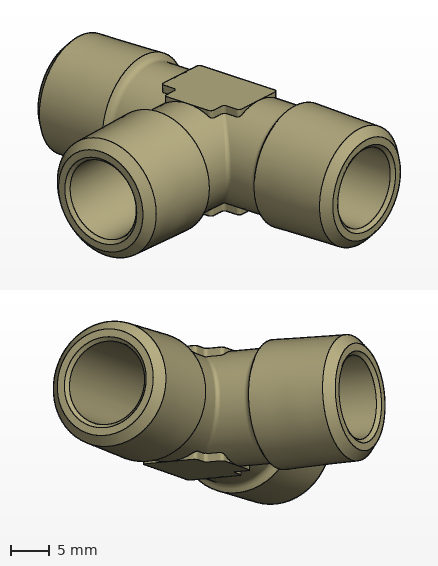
import cadquery as cq
import math

arm_length = 24.5
tube_radius = 7.5
bore_radius = 5.5
bore_chamfer = 0.5
crotch_fillet = 0.5

collar_radius = 8.5
collar_tip_radius = 8.25
collar_length = 11.9
tip_chamfer = 1.22

step_angle = math.radians(60)
step_fillet = 1.0

pad_half_length = 6.5
pad_half_width = 3.9
pad_corner_radius = 0.5


def arm():
    """Outer body of one arm, revolved about X and pointing towards +X."""
    collar_start = arm_length - collar_length
    arc_rise = step_fillet * (1 - math.cos(step_angle))
    cone_rise = collar_radius - tube_radius - arc_rise
    cone_start = collar_start - cone_rise / math.tan(step_angle)
    arc_start = cone_start - step_fillet * math.sin(step_angle)
    arc_middle = (
        arc_start + step_fillet * math.sin(step_angle / 2),
        tube_radius + step_fillet * (1 - math.cos(step_angle / 2)),
    )
    return (
        cq.Workplane("XY")
        .lineTo(0, tube_radius)
        .lineTo(arc_start, tube_radius)
        .threePointArc(arc_middle, (cone_start, tube_radius + arc_rise))
        .lineTo(collar_start, collar_radius)
        .lineTo(arm_length - tip_chamfer, collar_tip_radius)
        .lineTo(arm_length, collar_tip_radius - tip_chamfer)
        .lineTo(arm_length, 0)
        .close()
        .revolve(360, (0, 0, 0), (1, 0, 0))
    )


def arm_bore():
    """Bore of one arm with its entry chamfer, pointing towards +X."""
    return (
        cq.Workplane("XY")
        .lineTo(0, bore_radius)
        .lineTo(arm_length - bore_chamfer, bore_radius)
        .lineTo(arm_length, bore_radius + bore_chamfer)
        .lineTo(arm_length, 0)
        .close()
        .revolve(360, (0, 0, 0), (1, 0, 0))
    )


def tee_of(arm_shape):
    """Place an arm along +X, -X and -Y and join the three."""
    left = arm_shape.rotate((0, 0, 0), (0, 0, 1), 180)
    branch = arm_shape.rotate((0, 0, 0), (0, 0, 1), -90)
    return arm_shape.union(left).union(branch)


def pads():
    """T-shaped block whose top and bottom form the two flats."""
    height = 2 * tube_radius
    run_bar = cq.Workplane("XY").box(2 * pad_half_length, 2 * pad_half_width, height)
    stem = (
        cq.Workplane("XY")
        .box(2 * pad_half_width, pad_half_length, height)
        .translate((0, -pad_half_length / 2, 0))
    )
    return run_bar.union(stem).edges("|Z").fillet(pad_corner_radius)


body = tee_of(arm()).union(pads())

body = body.edges("%ELLIPSE").fillet(crotch_fillet)

result = body.cut(tee_of(arm_bore()))